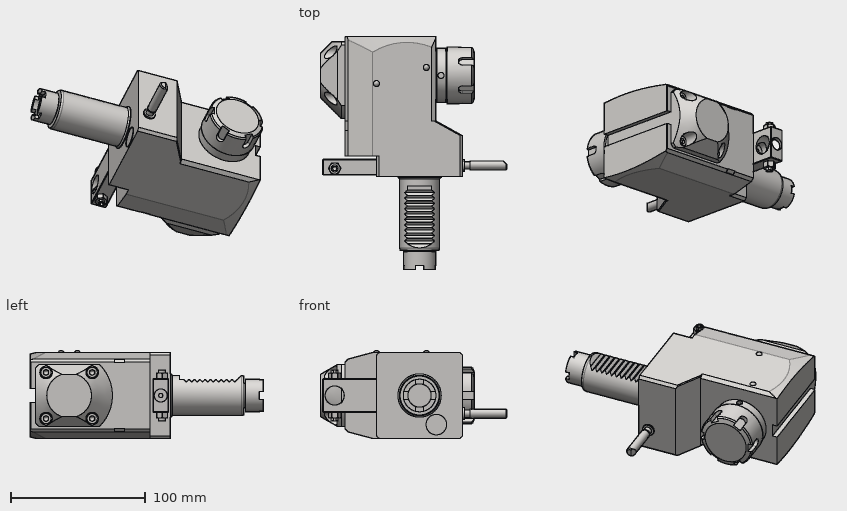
import cadquery as cq
import math


HALF = 32.0
BLOCK_CHAMFER = 2.0
SLANT_CHAMFER = 0.7
SLANT_START_Y = 30.3
HOUSING_LEFT = -55.4
HOUSING_RIGHT = 12.1
HOUSING_REAR = 15.2
HOUSING_END = 104.0
SHOULDER_Y = 41.3
TAPER_START_X = -34.8
TAPER_ANGLE = math.radians(15)
LEFT_CHAMFER = 2.2
RIGHT_CHAMFER = (3.1, 2.0)
END_CONE_X = -9.3
END_CONE_Y = 51.7
END_CONE_RADIUS = 48.0
END_EDGE_CHAMFER = 0.5
END_SLOT_WIDTH = 10.0
END_SLOT_DEPTH = 3.8
NOTCH_LENGTH = 7.3
NOTCH_DEPTH = 0.3
PLUG_X, PLUG_Z = 12.5, -21.6
PLUG_RADIUS = 7.6
PLUG_RECESS = 0.5

BUTTONS = [(-32.0, 69.0), (5.0, 81.0)]
BUTTON_RADIUS = 2.2
BUTTON_HEIGHT = 1.4

SPINDLE_Y = 75.0

COVER_END = -73.5
COVER_FACE_RADIUS = 16.6
COVER_RADIUS = 32.2
COVER_HALF_HEIGHT = 23.0
COVER_FACE_HALF_HEIGHT = 15.7
COVER_TOP_Y = 100.2
FACET_ANGLE = math.radians(30)
SCREW_OFFSET = 17.1
SCREW_RECESS_RADIUS = 4.7
SCREW_RECESS_FLOOR = -56.0
SCREW_HEAD_RADIUS = 3.8
SCREW_HEAD_TOP = -59.5
SOCKET_WIDTH = 3.8
SOCKET_DEPTH = 2.0

NUT_SLOTS = 6
NUT_SLOT_WIDTH = 6.2
NUT_SLOT_DEPTH = 3.1
NUT_SLOT_START = 28.7
NUT_RADIUS = 21.1
NUT_RIM_RADIUS = 20.2
NUT_END_RADIUS = 16.8
NUT_START, NUT_BEVEL_START, NUT_RIM, NUT_END = 20.5, 38.4, 39.6, 40.8
RING_RADIUS = 20.2
RING_START, RING_END = 12.8, 19.5
RING_HOLE_X = 16.0
RING_HOLE_RADIUS = 2.2
RING_HOLE_DEPTH = 3.5
NECK_RADIUS = 17.8

SHANK_DIAMETER = 30.0
SHANK_RADIUS = SHANK_DIAMETER / 2
FLANGE_RADIUS = 16.1
FLANGE_THICKNESS = 0.5
SHANK_END = -54.7
SHANK_BEVEL_LENGTH = 1.7
SHANK_BEVEL_DEPTH = 0.5
TOOTH_PITCH = 4.0
TOOTH_COUNT = 10
FIRST_VALLEY_Y = -12.0
TOOTH_TOP_Z = 12.0
TOOTH_DEPTH = 1.9
RACK_START, RACK_END = -7.0, -49.8

NOSE_RADIUS = 12.1
NOSE_START, NOSE_END = -55.7, -69.0
NOSE_NECK_RADIUS = 9.2
NOSE_BORE_RADIUS = 8.6
NOSE_BORE_DEPTH = 4.0
NOSE_SLOT_WIDTH = 5.9
NOSE_SLOT_DEPTH = 3.0

BAR_END = -72.0
BAR_REAR, BAR_FRONT = 1.2, 13.0
BAR_HALF_HEIGHT = 12.5
BAR_CHAMFER = 0.5
BAR_HOLE_X = -63.0
BAR_HOLE_RADIUS = 7.1
BAR_BORE_RADIUS = 4.8
BAR_BORE_LENGTH = 20.8
BAR_PORT_RADIUS = 1.5
BAR_PORT_LENGTH = 31.1
BAR_NUT_Y = 6.0
BAR_NUT_WIDTH = 8.1
BAR_NUT_HEIGHT = 4.3
BAR_NUT_CHAMFER = 0.5
BAR_STUD_RADIUS = 2.6
BAR_STUD_HEIGHT = 6.4
BAR_SOCKET_WIDTH = 3.1
BAR_SOCKET_DEPTH = 2.6

PIN_Y, PIN_Z = 8.3, -13.5
PIN_RADIUS = 3.5
PIN_START, PIN_END = 37.5, 64.9
PIN_NECK_RADIUS = 2.8
PIN_COLLAR_RADIUS = 4.5
PIN_COLLAR_END = 33.2
PIN_END_CHAMFER = 0.9
PIN_BEVEL = 3.0


def turn_x(profile, y=0.0, z=0.0):
    """Revolve (x, radius) points about an axis along X."""
    points = [(profile[0][0], 0)] + profile + [(profile[-1][0], 0)]
    return cq.Workplane("XY", origin=(0, y, z)).polyline(points).close().revolve(360, (0, 0), (1, 0))


def turn_y(profile):
    """Revolve (y, radius) points about the shank axis."""
    points = [(0, profile[0][0])] + [(r, y) for y, r in profile] + [(0, profile[-1][0])]
    return cq.Workplane("XY").polyline(points).close().revolve(360, (0, 0), (0, 1))


def box(x0, x1, y0, y1, z0, z1):
    return cq.Workplane("XY").box(x1 - x0, y1 - y0, z1 - z0, centered=False).translate((x0, y0, z0))


def hexagon(across_flats, height):
    return cq.Workplane("XY").polygon(6, across_flats / math.cos(math.pi / 6)).extrude(height)


def hex_socket(across_flats, depth):
    """Hexagonal socket sunk below z = 0, ending in a drill point."""
    radius = across_flats / 2
    point = (
        cq.Workplane("XZ").polyline([(0, -depth), (radius, -depth), (0, -depth - radius)]).close()
        .revolve(360, (0, 0), (0, 1))
    )
    return hexagon(across_flats, -depth).union(point)


def along_y(section, y0, y1):
    """Extrude an (x, z) outline from y0 to y1."""
    return cq.Workplane("XZ", origin=(0, y0, 0)).polyline(section).close().extrude(y0 - y1)


def mirrored_in_z(upper):
    """Close an (x, z) outline with its own reflection below z = 0."""
    return upper + [(x, -z) for x, z in reversed(upper)]


def make_block():
    c = BLOCK_CHAMFER
    section = [(-HALF, HALF - c), (c - HALF, HALF), (HALF - c, HALF), (HALF, HALF - c)]
    outline = [
        (-HALF, 0), (HALF, 0), (HALF, SLANT_START_Y),
        (HOUSING_RIGHT, SHOULDER_Y), (-HALF, SHOULDER_Y),
    ]
    plan = cq.Workplane("XY").polyline(outline).close().extrude(HALF, both=True)
    slant_middle = ((HALF + HOUSING_RIGHT) / 2, (SLANT_START_Y + SHOULDER_Y) / 2)
    for z in (HALF, -HALF):
        plan = plan.edges(cq.selectors.NearestToPointSelector((*slant_middle, z))).chamfer(SLANT_CHAMFER)
    return plan.intersect(along_y(mirrored_in_z(section), 0, SHOULDER_Y))


def make_housing():
    chamfer_x = HOUSING_LEFT + LEFT_CHAMFER
    taper_z = HALF - (TAPER_START_X - chamfer_x) * math.tan(TAPER_ANGLE)
    left_z = taper_z - LEFT_CHAMFER
    chamfer_dx, chamfer_dz = RIGHT_CHAMFER
    section = [
        (HOUSING_LEFT, left_z), (chamfer_x, taper_z), (TAPER_START_X, HALF),
        (HOUSING_RIGHT - chamfer_dx, HALF), (HOUSING_RIGHT, HALF - chamfer_dz),
    ]
    body = along_y(mirrored_in_z(section), HOUSING_REAR, HOUSING_END)
    body = body.edges("|Z and <X and >Y").chamfer(END_EDGE_CHAMFER)

    waist_radius = END_CONE_RADIUS + HALF / math.tan(TAPER_ANGLE)
    cone_outline = [
        (0, -HALF), (END_CONE_RADIUS, -HALF), (waist_radius, 0), (END_CONE_RADIUS, HALF), (0, HALF),
    ]
    cones = (
        cq.Workplane("XZ").polyline(cone_outline).close().revolve(360, (0, 0), (0, 1))
        .translate((END_CONE_X, END_CONE_Y, 0))
    )
    body = body.intersect(cones)

    half_slot = END_SLOT_WIDTH / 2
    body = body.cut(
        box(HOUSING_LEFT, HOUSING_RIGHT, HOUSING_END - END_SLOT_DEPTH, HOUSING_END, -half_slot, half_slot)
    )

    shift = NOTCH_DEPTH * math.sqrt(2)
    for side in (1, -1):
        notch = [
            (HOUSING_LEFT, side * (left_z - shift)), (chamfer_x, side * (taper_z - shift)),
            (chamfer_x, side * taper_z), (HOUSING_LEFT, side * taper_z),
        ]
        body = body.cut(along_y(notch, SHOULDER_Y - NOTCH_LENGTH, SHOULDER_Y))
    return body


def make_button(x, y):
    """Domed head whose spherical top meets the face at the button radius."""
    sphere_radius = (BUTTON_RADIUS**2 + BUTTON_HEIGHT**2) / (2 * BUTTON_HEIGHT)
    sphere = cq.Workplane("XY").sphere(sphere_radius).translate((0, 0, BUTTON_HEIGHT - sphere_radius))
    stem = cq.Workplane("XY").circle(BUTTON_RADIUS).extrude(BUTTON_HEIGHT)
    return sphere.intersect(stem).translate((x, y, HALF))


def make_cover():
    cone_start = COVER_END + COVER_RADIUS - COVER_FACE_RADIUS
    cover = turn_x(
        [(COVER_END, COVER_FACE_RADIUS), (cone_start, COVER_RADIUS), (HOUSING_LEFT, COVER_RADIUS)], SPINDLE_Y
    )
    facet_length = (COVER_HALF_HEIGHT - COVER_FACE_HALF_HEIGHT) / math.tan(FACET_ANGLE)
    side = [
        (COVER_END, COVER_FACE_HALF_HEIGHT), (COVER_END + facet_length, COVER_HALF_HEIGHT),
        (HOUSING_LEFT, COVER_HALF_HEIGHT),
    ]
    cover = cover.intersect(along_y(mirrored_in_z(side), SPINDLE_Y - COVER_RADIUS, COVER_TOP_Y))
    screw_socket = hex_socket(SOCKET_WIDTH, SOCKET_DEPTH).rotate((0, 0, 0), (0, 1, 0), -90)
    for dy in (-SCREW_OFFSET, SCREW_OFFSET):
        for z in (-SCREW_OFFSET, SCREW_OFFSET):
            y = SPINDLE_Y + dy
            recess = turn_x(
                [(COVER_END, SCREW_RECESS_RADIUS), (SCREW_RECESS_FLOOR, SCREW_RECESS_RADIUS)], y, z
            )
            head = turn_x(
                [(SCREW_HEAD_TOP, SCREW_HEAD_RADIUS), (SCREW_RECESS_FLOOR, SCREW_HEAD_RADIUS)], y, z
            )
            socket = screw_socket.translate((SCREW_HEAD_TOP, y, z))
            cover = cover.cut(recess.cut(head)).cut(socket)
    return cover


def make_spindle():
    spindle = turn_x(
        [
            (HOUSING_RIGHT, NECK_RADIUS), (RING_START, NECK_RADIUS), (RING_START, RING_RADIUS),
            (RING_END, RING_RADIUS), (RING_END, NECK_RADIUS), (NUT_START, NECK_RADIUS),
            (NUT_START, NUT_RADIUS), (NUT_BEVEL_START, NUT_RADIUS),
            (NUT_RIM, NUT_RIM_RADIUS), (NUT_END, NUT_END_RADIUS),
        ],
        SPINDLE_Y,
    )
    floor_z = NUT_RADIUS - NUT_SLOT_DEPTH
    round_x = NUT_SLOT_START + NUT_SLOT_WIDTH / 2
    slot = (
        box(round_x, NUT_END, -NUT_SLOT_WIDTH / 2, NUT_SLOT_WIDTH / 2, floor_z, NUT_RADIUS)
        .union(
            cq.Workplane("XY", origin=(round_x, 0, floor_z)).circle(NUT_SLOT_WIDTH / 2)
            .extrude(NUT_SLOT_DEPTH)
        )
    )
    for i in range(NUT_SLOTS):
        angle = (i + 0.5) * 360 / NUT_SLOTS
        spindle = spindle.cut(slot.rotate((0, 0, 0), (1, 0, 0), angle).translate((0, SPINDLE_Y, 0)))
    hole = (
        cq.Workplane("XY", origin=(RING_HOLE_X, SPINDLE_Y, RING_RADIUS - RING_HOLE_DEPTH))
        .circle(RING_HOLE_RADIUS).extrude(RING_HOLE_DEPTH)
    )
    return spindle.cut(hole)


def make_shank():
    flange_edge = FLANGE_RADIUS - SHANK_RADIUS
    shank = turn_y(
        [
            (0, FLANGE_RADIUS), (-FLANGE_THICKNESS, FLANGE_RADIUS),
            (-FLANGE_THICKNESS - flange_edge, SHANK_RADIUS),
            (SHANK_END + SHANK_BEVEL_LENGTH, SHANK_RADIUS), (SHANK_END, SHANK_RADIUS - SHANK_BEVEL_DEPTH),
        ]
    )
    top = SHANK_RADIUS
    points = [(RACK_START, top), (RACK_START, TOOTH_TOP_Z)]
    for i in range(TOOTH_COUNT):
        valley = FIRST_VALLEY_Y - i * TOOTH_PITCH
        points += [
            (valley + TOOTH_DEPTH, TOOTH_TOP_Z),
            (valley, TOOTH_TOP_Z - TOOTH_DEPTH),
            (valley - TOOTH_DEPTH, TOOTH_TOP_Z),
        ]
    points += [(RACK_END, TOOTH_TOP_Z), (RACK_END - top + TOOTH_TOP_Z, top)]
    rack = cq.Workplane("YZ").polyline(points).close().extrude(SHANK_RADIUS, both=True)
    return shank.cut(rack)


def make_nose():
    nose = turn_y(
        [
            (SHANK_END, NOSE_NECK_RADIUS), (NOSE_START, NOSE_NECK_RADIUS), (NOSE_START, NOSE_RADIUS),
            (NOSE_END, NOSE_RADIUS),
        ]
    )
    floor = NOSE_END + NOSE_SLOT_DEPTH
    half = NOSE_SLOT_WIDTH / 2
    bore_floor = NOSE_END + NOSE_BORE_DEPTH
    nose = nose.cut(turn_y([(NOSE_END, NOSE_BORE_RADIUS), (bore_floor, NOSE_BORE_RADIUS)]))
    nose = nose.cut(box(-NOSE_RADIUS, NOSE_RADIUS, NOSE_END, floor, -half, half))
    return nose.cut(box(-half, half, NOSE_END, floor, -NOSE_RADIUS, NOSE_RADIUS))


def make_bar():
    bar = box(BAR_END, -HALF, BAR_REAR, BAR_FRONT, -BAR_HALF_HEIGHT, BAR_HALF_HEIGHT)
    bar = bar.edges("|X or <X").chamfer(BAR_CHAMFER)
    middle_y = (BAR_REAR + BAR_FRONT) / 2

    nut = hexagon(BAR_NUT_WIDTH, BAR_NUT_HEIGHT).intersect(
        cq.Workplane("XY").circle(BAR_NUT_WIDTH / 2 + BAR_NUT_CHAMFER).extrude(BAR_NUT_HEIGHT)
        .faces(">Z").chamfer(BAR_NUT_CHAMFER)
    )
    stud = cq.Workplane("XY").circle(BAR_STUD_RADIUS).extrude(BAR_STUD_HEIGHT)
    socket = hex_socket(BAR_SOCKET_WIDTH, BAR_SOCKET_DEPTH).translate((0, 0, BAR_STUD_HEIGHT))
    fastener = nut.union(stud).cut(socket).translate((BAR_HOLE_X, BAR_NUT_Y, BAR_HALF_HEIGHT))
    bar = bar.union(fastener).union(fastener.mirror("XY"))

    cross_hole = (
        cq.Workplane("XZ", origin=(BAR_HOLE_X, BAR_FRONT, 0))
        .circle(BAR_HOLE_RADIUS).extrude(BAR_FRONT - BAR_REAR)
    )
    bore_end = BAR_END + BAR_BORE_LENGTH
    bore = turn_x(
        [
            (BAR_END, BAR_BORE_RADIUS), (bore_end, BAR_BORE_RADIUS),
            (bore_end, BAR_PORT_RADIUS), (BAR_END + BAR_PORT_LENGTH, BAR_PORT_RADIUS),
        ],
        middle_y,
    )
    return bar.cut(cross_hole).cut(bore)


def make_pin():
    pin = turn_x(
        [
            (HALF, PIN_COLLAR_RADIUS), (PIN_COLLAR_END, PIN_COLLAR_RADIUS),
            (PIN_COLLAR_END, PIN_NECK_RADIUS),
            (PIN_START, PIN_NECK_RADIUS), (PIN_START, PIN_RADIUS),
            (PIN_END - PIN_END_CHAMFER, PIN_RADIUS), (PIN_END, PIN_RADIUS - PIN_END_CHAMFER),
        ],
        PIN_Y, PIN_Z,
    )
    side_y = PIN_Y + PIN_RADIUS
    bevel = (
        cq.Workplane("XY", origin=(0, 0, PIN_Z))
        .polyline([(PIN_END - PIN_BEVEL, side_y), (PIN_END, side_y - PIN_BEVEL), (PIN_END, side_y)]).close()
        .extrude(PIN_RADIUS, both=True)
    )
    return pin.cut(bevel)


plug_recess = (
    cq.Workplane("XZ", origin=(PLUG_X, 0, PLUG_Z)).circle(PLUG_RADIUS).extrude(-PLUG_RECESS)
)

result = make_block().union(make_housing()).cut(plug_recess)
for button_x, button_y in BUTTONS:
    result = result.union(make_button(button_x, button_y))
for feature in (make_cover(), make_spindle(), make_shank(), make_nose(), make_bar(), make_pin()):
    result = result.union(feature)